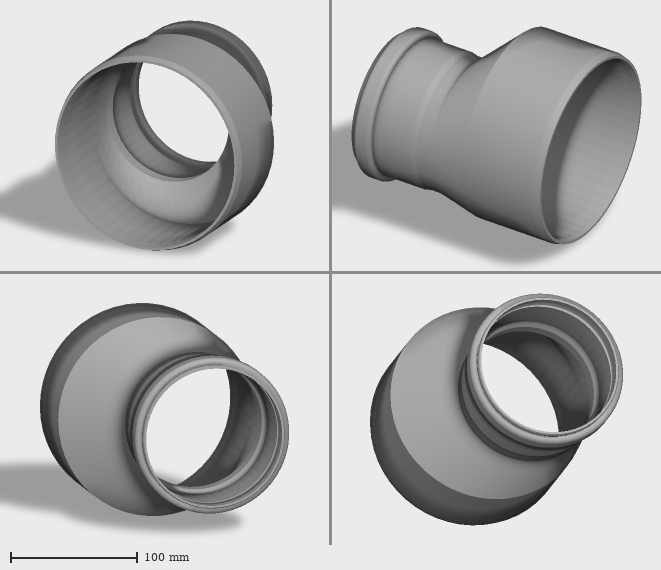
import cadquery as cq

spigot_outer_d = 160.0
spigot_bore_d = 152.2
neck_outer_d = 112.4
neck_bore_d = 104.6
socket_outer_d = 115.1
bead_foot_d = 115.5
socket_bore_d = 110.5
bead_outer_d = 125.5
seal_groove_d = 120.6

spigot_chamfer_end = 6.2
spigot_end = 71.8
neck_start = 101.5
neck_end = 112.7
socket_start = 118.2
bead_start = 152.8
bead_end = 168.1
total_length = 172.6

spigot_chamfer_depth = 1.7
mouth_chamfer_depth = 0.7
mouth_chamfer_length = 1.5
bead_round = 3.5
bead_foot_length = 0.5
bead_wall = (bead_outer_d - seal_groove_d) / 2

eccentricity = (spigot_outer_d - neck_outer_d) / 2


def cylinder(diameter, y_from, y_to, x_axis=0):
    """Solid cylinder along Y between two stations."""
    start = cq.Workplane("XZ", origin=(x_axis, y_from, 0))
    return start.circle(diameter / 2).extrude(y_from - y_to)


def frustum(d_from, d_to, y_from, y_to, x_from=0, x_to=0):
    """Straight-sided blend along Y between two circles, whose centres may differ in X."""
    blend = cq.Solid.makeLoft(
        [
            cq.Wire.makeCircle(d_from / 2, cq.Vector(x_from, y_from, 0), cq.Vector(0, 1, 0)),
            cq.Wire.makeCircle(d_to / 2, cq.Vector(x_to, y_to, 0), cq.Vector(0, 1, 0)),
        ],
        True,
    )
    return cq.Workplane(obj=blend)


def pipe_run(spigot_d, neck_d, socket_d):
    """Spigot, eccentric transition, neck, flare and socket as one solid."""
    run = cylinder(spigot_d, 0, spigot_end, eccentricity)
    run = run.union(frustum(spigot_d, neck_d, spigot_end, neck_start, eccentricity, 0))
    run = run.union(cylinder(neck_d, neck_start, neck_end))
    run = run.union(frustum(neck_d, socket_d, neck_end, socket_start))
    return run.union(cylinder(socket_d, socket_start, total_length))


def chamfer_cutter(diameter, depth, y_end, y_inner, x_axis=0):
    """Ring that bevels the outside of a pipe end."""
    ring = cylinder(diameter + 2 * depth, y_inner, y_end, x_axis)
    core = frustum(diameter, diameter - 2 * depth, y_inner, y_end, x_axis, x_axis)
    return ring.cut(core)


body = pipe_run(spigot_outer_d, neck_outer_d, socket_outer_d)
body = body.cut(
    chamfer_cutter(spigot_outer_d, spigot_chamfer_depth, 0, spigot_chamfer_end, eccentricity)
)
body = body.cut(
    chamfer_cutter(
        socket_outer_d, mouth_chamfer_depth, total_length, total_length - mouth_chamfer_length
    )
)

bead = cylinder(bead_outer_d, bead_start, bead_end).edges().fillet(bead_round)
bead_foot = cylinder(bead_foot_d, bead_start - bead_foot_length, bead_end + bead_foot_length)
body = body.union(bead).union(bead_foot)

bore = pipe_run(spigot_bore_d, neck_bore_d, socket_bore_d)
seal_groove = cylinder(seal_groove_d, bead_start + bead_wall, bead_end - bead_wall)
result = body.cut(bore).cut(seal_groove)